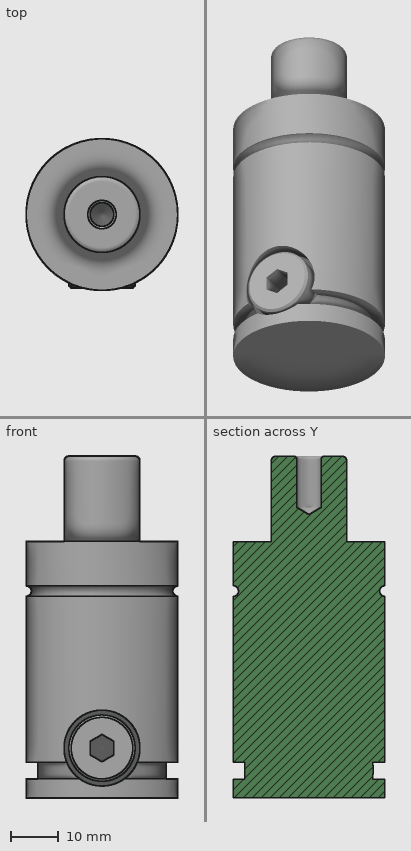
import cadquery as cq
import math

total_height = 72.0
body_diameter = 32.0
body_height = 54.0

rod_diameter = body_diameter / 2
rod_edge_radius = 1.0
rod_hole_diameter = 5.0
rod_hole_mouth_diameter = 6.0
rod_hole_depth = 10.8
drill_tip_angle = 118.0

ring_groove_z = 43.55
ring_groove_radius = 1.1

flange_height = 4.0
clamp_groove_top = 7.5
clamp_groove_diameter = 27.1

plug_z = 10.5
recess_diameter = 16.0
recess_floor_y = -10.8
plug_diameter = 14.0
plug_face_y = -15.5
plug_chamfer = 0.5
hex_sides = 6
hex_across_flats = 5.0
hex_depth = 6.5

body_radius = body_diameter / 2


def side_plane(y):
    """Plane facing -Y, centred on the plug axis."""
    return cq.Plane(origin=(0, y, plug_z), xDir=(1, 0, 0), normal=(0, -1, 0))


def make_body():
    body = cq.Workplane("XY").circle(body_radius).extrude(body_height)
    ring_groove = cq.Workplane("XY").add(
        cq.Solid.makeTorus(body_radius, ring_groove_radius, cq.Vector(0, 0, ring_groove_z))
    )
    clamp_groove = (
        cq.Workplane("XY", origin=(0, 0, flange_height))
        .circle(body_diameter)
        .circle(clamp_groove_diameter / 2)
        .extrude(clamp_groove_top - flange_height)
    )
    return body.cut(ring_groove).cut(clamp_groove)


def make_rod():
    return (
        cq.Workplane("XY", origin=(0, 0, body_height))
        .circle(rod_diameter / 2)
        .extrude(total_height - body_height)
        .faces(">Z")
        .edges()
        .fillet(rod_edge_radius)
    )


def make_rod_hole():
    """Drilled hole with a conical tip and a 45 degree countersunk mouth."""
    hole_radius = rod_hole_diameter / 2
    mouth_radius = rod_hole_mouth_diameter / 2
    hole_bottom = total_height - rod_hole_depth
    tip_height = hole_radius / math.tan(math.radians(drill_tip_angle / 2))
    return (
        cq.Workplane("XZ")
        .moveTo(0, total_height)
        .lineTo(mouth_radius, total_height)
        .lineTo(hole_radius, total_height - (mouth_radius - hole_radius))
        .lineTo(hole_radius, hole_bottom)
        .lineTo(0, hole_bottom - tip_height)
        .close()
        .revolve(360, (0, 0, 0), (0, 1, 0))
    )


def make_recess():
    return cq.Workplane(side_plane(recess_floor_y)).circle(recess_diameter / 2).extrude(body_radius)


def make_plug():
    """Screw plug standing on the recess floor."""
    return (
        cq.Workplane(side_plane(recess_floor_y))
        .circle(plug_diameter / 2)
        .extrude(recess_floor_y - plug_face_y)
        .faces("<Y")
        .edges()
        .chamfer(plug_chamfer)
    )


def make_socket():
    """Hexagon socket in the plug face, with corners pointing up and down."""
    return (
        cq.Workplane(side_plane(plug_face_y))
        .polygon(hex_sides, hex_across_flats, circumscribed=True)
        .extrude(-hex_depth)
    )


result = make_body().union(make_rod()).cut(make_rod_hole())
result = result.cut(make_recess()).union(make_plug()).cut(make_socket())